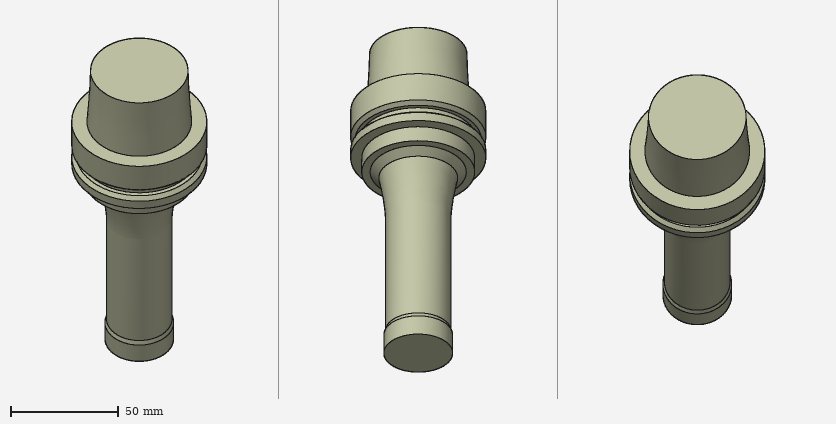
import cadquery as cq

NOSE_TOP = 10.2
SHANK_BOTTOM = 12.4
SHANK_TOP = 75.3
NECK_BLEND_TOP = 82.8
NECK_TOP = 97.9
COLLAR_BOTTOM = 101.2
FLANGE_BOTTOM = 109.0
GROOVE_BOTTOM = 115.2
GROOVE_TOP = 118.9
FLANGE_TOP = 135.3
TOTAL_HEIGHT = 167.0

NOSE_RADIUS = 32.0 / 2
SHANK_RADIUS = 30.5 / 2
NECK_BLEND_RADIUS = 15.9
NECK_TOP_RADIUS = 18.4
COLLAR_CONE_RADIUS = 22.4
COLLAR_RADIUS = 52.6 / 2
GROOVE_RADIUS = 55.0 / 2
FLANGE_RADIUS = 63.0 / 2
TAPER_BASE_RADIUS = 24.4
TAPER_TOP_RADIUS = 22.7

RIM_BEVEL_WIDTH = 2.0
RIM_BEVEL_HEIGHT = 1.7

NECK_BLEND_BOW = 0.1
NECK_BOW = 0.25
TAPER_BOW = 0.25


def bowed_midpoint(start, end, bow):
    """Middle of a flank, moved toward the axis by the bow."""
    radius = (start[0] + end[0]) / 2 - bow
    height = (start[1] + end[1]) / 2
    return (radius, height)


shank_end = (SHANK_RADIUS, SHANK_TOP)
blend_end = (NECK_BLEND_RADIUS, NECK_BLEND_TOP)
neck_end = (NECK_TOP_RADIUS, NECK_TOP)
taper_start = (TAPER_BASE_RADIUS, FLANGE_TOP)
taper_end = (TAPER_TOP_RADIUS, TOTAL_HEIGHT)
groove_rim_radius = FLANGE_RADIUS - RIM_BEVEL_WIDTH

profile = (
    cq.Workplane("XZ")
    .moveTo(0, 0)
    .lineTo(NOSE_RADIUS, 0)
    .lineTo(NOSE_RADIUS, NOSE_TOP)
    .lineTo(SHANK_RADIUS, SHANK_BOTTOM)
    .lineTo(*shank_end)
    .threePointArc(bowed_midpoint(shank_end, blend_end, NECK_BLEND_BOW), blend_end)
    .threePointArc(bowed_midpoint(blend_end, neck_end, NECK_BOW), neck_end)
    .lineTo(COLLAR_CONE_RADIUS, COLLAR_BOTTOM)
    .lineTo(COLLAR_RADIUS, COLLAR_BOTTOM)
    .lineTo(COLLAR_RADIUS, FLANGE_BOTTOM)
    .lineTo(FLANGE_RADIUS, FLANGE_BOTTOM)
    .lineTo(FLANGE_RADIUS, GROOVE_BOTTOM - RIM_BEVEL_HEIGHT)
    .lineTo(groove_rim_radius, GROOVE_BOTTOM)
    .lineTo(GROOVE_RADIUS, GROOVE_BOTTOM)
    .lineTo(GROOVE_RADIUS, GROOVE_TOP)
    .lineTo(groove_rim_radius, GROOVE_TOP)
    .lineTo(FLANGE_RADIUS, GROOVE_TOP + RIM_BEVEL_HEIGHT)
    .lineTo(FLANGE_RADIUS, FLANGE_TOP)
    .lineTo(*taper_start)
    .threePointArc(bowed_midpoint(taper_start, taper_end, TAPER_BOW), taper_end)
    .lineTo(0, TOTAL_HEIGHT)
    .close()
)

result = profile.revolve(360, (0, 0, 0), (0, 1, 0))